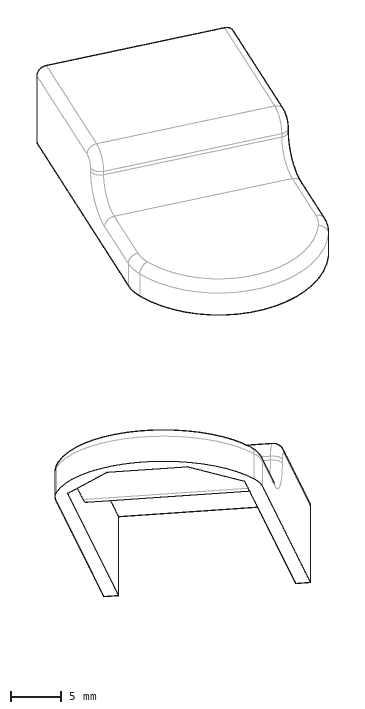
import cadquery as cq
import math

length = 34.55
width = 20.7
height = 9.1
half_width = width / 2

nose_height = 3.65
step_x = 16.3
crest_radius = 2.0
valley_radius = 3.0
edge_radius = 1.0

nose_radius = 10.85
shoulder_radius = 5.1

side_wall = 1.5
top_wall = 0.73
step_wall = 1.05
cavity_half_width = half_width - side_wall
nose_cavity_end_x = 32.47
nose_cavity_half_end = 4.05
nose_cavity_taper = 45.0


def nose_outline():
    """Plan outline: straight sides blended by shoulder arcs into the nose arc."""
    nose_center_x = length - nose_radius
    shoulder_y = half_width - shoulder_radius
    center_distance = nose_radius - shoulder_radius
    shoulder_x = nose_center_x + math.sqrt(center_distance**2 - shoulder_y**2)
    joint_angle = math.atan2(shoulder_y, shoulder_x - nose_center_x)
    middle_angle = (math.pi / 2 + joint_angle) / 2

    def on_shoulder(angle):
        return (
            shoulder_x + shoulder_radius * math.cos(angle),
            shoulder_y + shoulder_radius * math.sin(angle),
        )

    middle_x, middle_y = on_shoulder(middle_angle)
    joint_x, joint_y = on_shoulder(joint_angle)
    return (
        cq.Workplane("XY")
        .moveTo(0, -half_width)
        .lineTo(shoulder_x, -half_width)
        .threePointArc((middle_x, -middle_y), (joint_x, -joint_y))
        .threePointArc((length, 0), (joint_x, joint_y))
        .threePointArc((middle_x, middle_y), (shoulder_x, half_width))
        .lineTo(0, half_width)
        .close()
    )


def step_profile():
    """Side profile: tall rear, rounded crest, concave valley and low nose."""
    return (
        cq.Workplane("XZ")
        .lineTo(length, 0)
        .lineTo(length, nose_height)
        .lineTo(step_x + valley_radius, nose_height)
        .radiusArc((step_x, nose_height + valley_radius), valley_radius)
        .lineTo(step_x, height - crest_radius)
        .radiusArc((step_x - crest_radius, height), -crest_radius)
        .lineTo(0, height)
        .close()
    )


def outer_body():
    """Stepped body with its whole upper rim rounded, except at the flat rear."""
    profile_body = step_profile().extrude(half_width, both=True)
    body = nose_outline().extrude(height).intersect(profile_body)
    rim_start = cq.selectors.NearestToPointSelector((step_x / 2, half_width, height))
    return body.edges(rim_start).fillet(edge_radius)


def cavity():
    """Hollow that follows the step and ends in a tapered recess under the nose."""
    inner_step_x = step_x - step_wall
    inner_radius = valley_radius + step_wall
    nose_ceiling = nose_height - step_wall
    profile = (
        cq.Workplane("XZ")
        .lineTo(length, 0)
        .lineTo(length, nose_ceiling)
        .lineTo(inner_step_x + inner_radius, nose_ceiling)
        .radiusArc((inner_step_x, nose_ceiling + inner_radius), inner_radius)
        .lineTo(inner_step_x, height - top_wall)
        .lineTo(0, height - top_wall)
        .close()
        .extrude(cavity_half_width, both=True)
    )
    taper_width = cavity_half_width - nose_cavity_half_end
    taper_length = taper_width / math.tan(math.radians(nose_cavity_taper))
    taper_start_x = nose_cavity_end_x - taper_length
    plan = (
        cq.Workplane("XY")
        .moveTo(0, -cavity_half_width)
        .lineTo(taper_start_x, -cavity_half_width)
        .lineTo(nose_cavity_end_x, -nose_cavity_half_end)
        .lineTo(nose_cavity_end_x, nose_cavity_half_end)
        .lineTo(taper_start_x, cavity_half_width)
        .lineTo(0, cavity_half_width)
        .close()
        .extrude(height)
    )
    return profile.intersect(plan)


result = outer_body().cut(cavity())